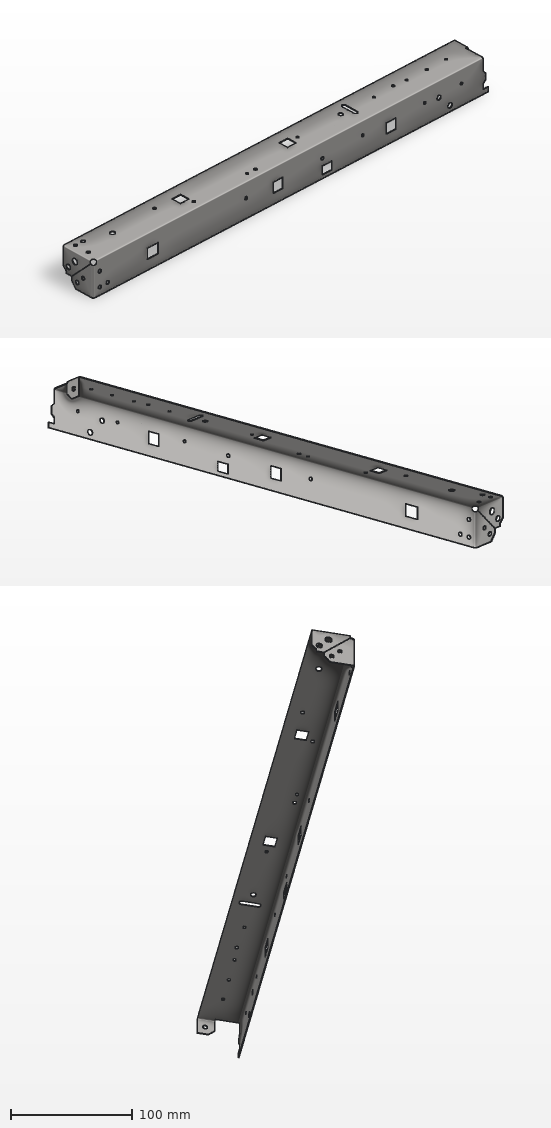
import cadquery as cq
length = 454.8
leg = 36.0
half_length = length / 2
half_leg = leg / 2

sheet = 1.0
bend_outer = 2 * sheet
bend_inner = bend_outer - sheet

end_y = 221.5
ear_y = 224.0
ear_top_z = 2.0
ear_bottom_z = -5.0
ear_chamfer = 2.7
tab_top_z = -13.0
tab_root = 4.5

far_flange_setback = 2.77
far_flange_y = half_length - far_flange_setback
far_flange_right_x = -3.0
far_flange_bottom_z = 0.5
far_flange_chamfer = 5.5
far_flange_hole = (-11.5, 8.5, 4.0)

mitre_gap = 0.2
mitre_end = -7.7
plate_flange_side_z = -1.5
plate_flange_foot_x = -14.0
plate_flange_foot_z = -5.5
web_flange_left_z = -12.0
web_flange_foot_x = -2.7
corner_relief_radius = 2.7
corner_relief_inset = 2.05

plate_holes = [
    (-2.0, 198.0, 2.55),
    (-2.0, 175.5, 2.55),
    (-2.0, 152.5, 2.55),
    (-3.0, 138.2, 3.0),
    (-2.0, 114.5, 2.55),
    (-2.5, 77.0, 4.5),
    (-2.0, 27.0, 2.55),
    (9.0, -32.5, 3.0),
    (9.0, -42.0, 2.55),
    (9.0, -103.2, 3.0),
    (-6.0, -133.5, 3.0),
    (-3.0, -184.5, 5.0),
    (-11.0, -211.0, 4.0),
    (-11.0, -219.5, 3.5),
    (4.0, -219.5, 3.5),
]
web_holes = [
    (196.5, 3.5, 2.55),
    (183.3, -12.0, 5.0),
    (170.5, 1.5, 4.5),
    (154.0, 3.5, 2.55),
    (82.8, 3.5, 2.55),
    (36.5, 2.0, 3.0),
    (-51.5, 2.0, 3.0),
    (-210.5, -9.5, 3.5),
    (-219.5, 5.5, 3.5),
    (-219.5, -10.0, 3.5),
]
near_flange_holes = [
    (-12.0, -0.5, 5.0),
    (-4.0, 8.0, 6.0),
    (5.5, -3.5, 3.5),
    (-1.5, -11.0, 4.0),
]

plate_windows = [
    (-1.5, 15.0, 10.0, 10.0),
    (-1.5, -108.2, 10.0, 10.0),
]
web_windows = [
    (115.5, -2.0, 11.0, 11.0),
    (42.0, -10.0, 11.0, 8.5),
    (-14.5, -2.0, 11.0, 11.0),
    (-158.5, -2.0, 12.7, 11.0),
]

slot_x = -2.7
slot_y = 87.8
slot_length = 18.0
slot_width = 4.0

plate_plane = cq.Workplane("XY", origin=(0, 0, half_leg - bend_outer))
web_plane = cq.Workplane("YZ", origin=(half_leg - bend_outer, 0, 0))
near_plane = cq.Workplane("XZ", origin=(0, -half_length + bend_outer, 0))
far_plane = cq.Workplane("XZ", origin=(0, half_length, 0))


def box(x0, x1, y0, y1, z0, z1):
    return cq.Workplane("XY").box(x1 - x0, y1 - y0, z1 - z0, centered=False).translate((x0, y0, z0))


def folded_sheet():
    """Plate on top, web on the right and a full wall at the near end, with round bends."""
    def rounded_block(inset, radius):
        block = box(-leg, half_leg - inset, -half_length + inset, end_y, -leg, half_leg - inset)
        return block.edges("(>X and >Z) or (>X and <Y) or (<Y and >Z)").fillet(radius)

    envelope = box(-half_leg, half_leg, -half_length, end_y, -half_leg, half_leg)
    shell = rounded_block(0, bend_outer).cut(rounded_block(sheet, bend_inner))
    return shell.intersect(envelope)


def web_end():
    """Chamfered ear and lower tab that carry the web past its end."""
    root_y = end_y - tab_root
    outline = [
        (root_y, -half_leg),
        (root_y, ear_top_z + ear_chamfer),
        (end_y, ear_top_z + ear_chamfer),
        (ear_y, ear_top_z),
        (ear_y, ear_bottom_z),
        (end_y, ear_bottom_z - ear_chamfer),
        (end_y, tab_top_z),
        (half_length, tab_top_z),
        (half_length, -half_leg),
    ]
    plane = cq.Workplane("YZ", origin=(half_leg - sheet, 0, 0))
    return plane.polyline(outline).close().extrude(sheet)


def far_flange():
    """Extension of the plate that folds down, with one chamfered corner and a hole."""
    def rounded_block(inset, radius):
        block = box(
            -half_leg, far_flange_right_x,
            end_y - tab_root, far_flange_y - inset,
            far_flange_bottom_z, half_leg - inset,
        )
        return block.edges(">Y and >Z").fillet(radius)

    corner = [
        (far_flange_right_x, far_flange_bottom_z),
        (far_flange_right_x - far_flange_chamfer, far_flange_bottom_z),
        (far_flange_right_x, far_flange_bottom_z + far_flange_chamfer),
    ]
    depth = half_length - end_y
    corner_cut = far_plane.polyline(corner).close().extrude(depth)
    x, z, diameter = far_flange_hole
    hole = far_plane.center(x, z).circle(diameter / 2).extrude(depth)
    return rounded_block(0, bend_outer).cut(rounded_block(sheet, bend_inner)).cut(corner_cut).cut(hole)


def near_wall_trim():
    """Material below the outlines of the two near flanges."""
    outline = [
        (-half_leg, plate_flange_side_z),
        (plate_flange_foot_x, plate_flange_foot_z),
        (plate_flange_foot_x, mitre_end),
        (mitre_end, mitre_end),
        (mitre_end, web_flange_left_z),
        (web_flange_foot_x, -half_leg),
        (-half_leg, -half_leg),
    ]
    return near_plane.polyline(outline).close().extrude(bend_outer)


def mitre_cut():
    """Thin diagonal gap between the two near flanges."""
    return near_plane.transformed(rotate=(0, 0, 45)).rect(2 * leg, mitre_gap).extrude(bend_outer)


def corner_relief():
    """Round opening where the three bends would meet."""
    centre = half_leg - corner_relief_inset
    sphere = cq.Workplane("XY").sphere(corner_relief_radius)
    return sphere.translate((centre, -half_length + corner_relief_inset, centre))


def cut_holes(body, plane, holes):
    for u, v, diameter in holes:
        body = body.cut(plane.center(u, v).circle(diameter / 2).extrude(bend_outer))
    return body


def cut_windows(body, plane, windows):
    for u, v, width, height in windows:
        body = body.cut(plane.center(u, v).rect(width, height).extrude(bend_outer))
    return body


part = folded_sheet().union(web_end()).union(far_flange())
part = part.cut(near_wall_trim()).cut(mitre_cut()).cut(corner_relief())
part = cut_holes(part, plate_plane, plate_holes)
part = cut_holes(part, web_plane, web_holes)
part = cut_holes(part, near_plane, near_flange_holes)
part = cut_windows(part, plate_plane, plate_windows)
part = cut_windows(part, web_plane, web_windows)
slot = plate_plane.center(slot_x, slot_y).slot2D(slot_length, slot_width).extrude(bend_outer)
result = part.cut(slot)